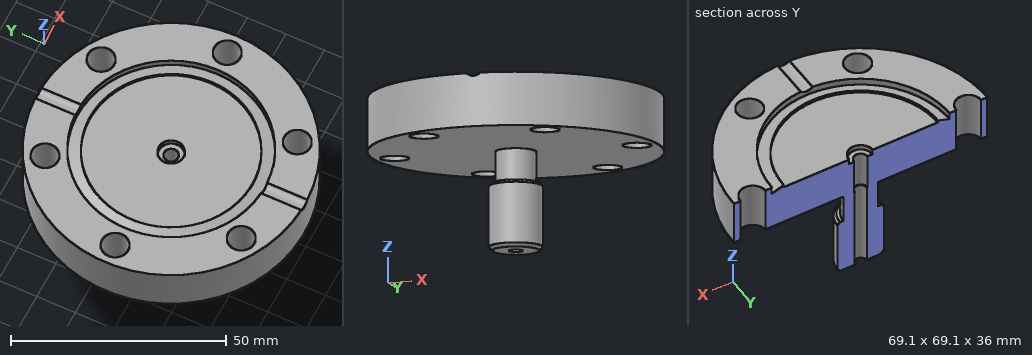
import cadquery as cq

flange_diameter = 69.1
flange_thickness = 12.65

recess_diameter = 48.3
knife_diameter = 41.95
recess_depth = 1.85
knife_depth = 0.75
floor_depth = 1.4

bolt_hole_count = 6
bolt_hole_diameter = 6.7
bolt_circle_diameter = 58.7

groove_width = 3.2
groove_depth = 0.7

overall_height = 36.0
neck_diameter = 9.5
neck_length = 7.5
body_diameter = 12.7
body_length = overall_height - flange_thickness - neck_length
body_top_chamfer = 0.7
body_bottom_chamfer = 0.8

flange_bore_diameter = 3.5
stem_bore_diameter = 3.2
counterbore_diameter = 6.35
counterbore_depth = 1.4


def downward_cylinder(diameter, top, length):
    return cq.Workplane("XY", origin=(0, 0, top)).circle(diameter / 2).extrude(-length)


def make_stem():
    neck = downward_cylinder(neck_diameter, -flange_thickness, neck_length)
    body = downward_cylinder(body_diameter, -flange_thickness - neck_length, body_length)
    body = body.faces(">Z").edges().chamfer(body_top_chamfer)
    body = body.faces("<Z").edges().chamfer(body_bottom_chamfer)
    return neck.union(body)


def make_recess():
    """Revolved void: straight outer wall, cone up to the knife edge, flat floor."""
    return (
        cq.Workplane("XZ")
        .polyline([
            (0, 0),
            (recess_diameter / 2, 0),
            (recess_diameter / 2, -recess_depth),
            (knife_diameter / 2, -knife_depth),
            (knife_diameter / 2, -floor_depth),
            (0, -floor_depth),
        ])
        .close()
        .revolve(360, (0, 0), (0, 1))
    )


def make_bolt_holes():
    return (
        cq.Workplane("XY")
        .polarArray(bolt_circle_diameter / 2, 0, 360, bolt_hole_count)
        .circle(bolt_hole_diameter / 2)
        .extrude(-flange_thickness)
    )


def make_groove():
    """Cylinder along Y, kept to the annular face outside the recess."""
    radius = ((groove_width / 2) ** 2 + groove_depth ** 2) / (2 * groove_depth)
    cylinder = (
        cq.Workplane("XZ")
        .center(0, radius - groove_depth)
        .circle(radius)
        .extrude(flange_diameter / 2, both=True)
    )
    return cylinder.cut(downward_cylinder(recess_diameter, 0, flange_thickness))


def make_bore():
    flange_bore = downward_cylinder(flange_bore_diameter, 0, flange_thickness)
    stem_bore = downward_cylinder(stem_bore_diameter, 0, overall_height)
    counterbore = downward_cylinder(counterbore_diameter, -floor_depth, counterbore_depth)
    return stem_bore.union(flange_bore).union(counterbore)


result = (
    downward_cylinder(flange_diameter, 0, flange_thickness)
    .union(make_stem())
    .cut(make_recess())
    .cut(make_bolt_holes())
    .cut(make_groove())
    .cut(make_bore())
)